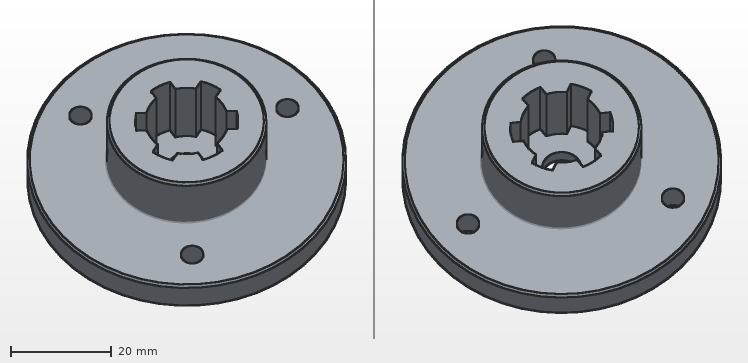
import cadquery as cq

flange_diameter = 63.5
flange_thickness = 6.35
hub_diameter = flange_diameter / 2
total_height = 19.05
edge_size = 0.5

hole_count = 3
hole_diameter = 4.45
hole_circle_radius = 23.8
first_hole_angle = 90.0

bore_diameter = 7.95
spline_count = 6
spline_minor_diameter = 16.5
spline_major_diameter = 20.5
spline_slot_width = 4.45
spline_angle = -1.2
socket_floor = flange_thickness / 2
socket_depth = total_height - socket_floor


def make_body():
    """Flange and hub, revolved from half of their cross-section."""
    flange_radius = flange_diameter / 2
    hub_radius = hub_diameter / 2
    root_fillet_middle = edge_size * (1 - 0.5**0.5)
    return (
        cq.Workplane("XZ")
        .lineTo(flange_radius, 0)
        .lineTo(flange_radius, flange_thickness - edge_size)
        .lineTo(flange_radius - edge_size, flange_thickness)
        .lineTo(hub_radius + edge_size, flange_thickness)
        .threePointArc(
            (hub_radius + root_fillet_middle, flange_thickness + root_fillet_middle),
            (hub_radius, flange_thickness + edge_size),
        )
        .lineTo(hub_radius, total_height - edge_size)
        .lineTo(hub_radius - edge_size, total_height)
        .lineTo(0, total_height)
        .close()
        .revolve(360, (0, 0, 0), (0, 1, 0))
    )


def make_socket():
    """Solid that fills the splined socket: a round core with radial teeth."""
    base = cq.Workplane("XY").workplane(offset=socket_floor)
    core = base.circle(spline_minor_diameter / 2).extrude(socket_depth)
    bar = base.rect(spline_major_diameter, spline_slot_width).extrude(socket_depth)
    envelope = base.circle(spline_major_diameter / 2).extrude(socket_depth)
    tooth_pair = bar.intersect(envelope)
    socket = core
    for index in range(spline_count // 2):
        angle = spline_angle + index * 360 / spline_count
        socket = socket.union(tooth_pair.rotate((0, 0, 0), (0, 0, 1), angle))
    return socket


def make_through_holes():
    """Central bore and the mounting holes around it."""
    bore = cq.Workplane("XY").circle(bore_diameter / 2).extrude(total_height)
    mounting_holes = (
        cq.Workplane("XY")
        .polarArray(hole_circle_radius, first_hole_angle, 360, hole_count)
        .circle(hole_diameter / 2)
        .extrude(flange_thickness)
    )
    return bore.union(mounting_holes)


result = make_body().cut(make_socket()).cut(make_through_holes())